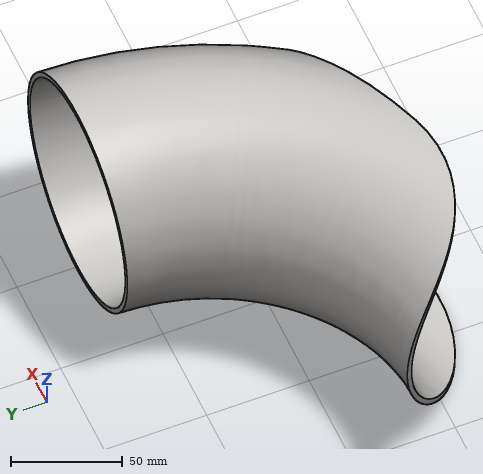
import cadquery as cq
import math


pipe_diameter = 114.3
wall_thickness = 2.5
bend_radius = 153.0
bend_angle = 90
pipe_radius = pipe_diameter / 2
inner_reach = bend_radius - pipe_radius
outer_reach = bend_radius + pipe_radius

trim_depth = 142.5
tight_radius = 76.5
joint_angle = 17

tight_center_y = tight_radius - trim_depth
trim_start = (0, -inner_reach)
start_rise = trim_start[1] - tight_center_y
tight_center_x = math.sqrt(tight_radius**2 - start_rise**2)

trim_end = (math.sqrt(outer_reach**2 - inner_reach**2), -inner_reach)

margin = 10.5


def tight_arc_point(angle):
    """Point on the tight arc at an angle from -Y towards +X."""
    turn = math.radians(angle)
    return (
        tight_center_x + tight_radius * math.sin(turn),
        tight_center_y - tight_radius * math.cos(turn),
    )


def bent_pipe():
    """Full quarter bend of hollow pipe."""
    return (
        cq.Workplane("XZ")
        .center(bend_radius, 0)
        .circle(pipe_radius)
        .circle(pipe_radius - wall_thickness)
        .revolve(bend_angle, (-bend_radius, 0, 0), (-bend_radius, -1, 0))
    )


def trimming_block():
    """Block along Z that covers the part of the bend to keep."""
    start_angle = -math.degrees(math.atan2(tight_center_x, -start_rise))
    middle_angle = (start_angle + joint_angle) / 2
    block_height = pipe_diameter + 2 * margin
    return (
        cq.Workplane("XY")
        .moveTo(-margin, margin)
        .lineTo(-margin, trim_start[1])
        .lineTo(*trim_start)
        .threePointArc(tight_arc_point(middle_angle), tight_arc_point(joint_angle))
        .tangentArcPoint(trim_end, relative=False)
        .lineTo(outer_reach + margin, trim_end[1])
        .lineTo(outer_reach + margin, margin)
        .close()
        .extrude(block_height / 2, both=True)
    )


result = bent_pipe().intersect(trimming_block())